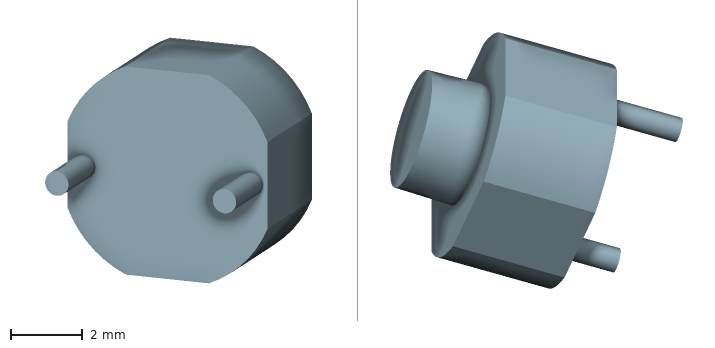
import cadquery as cq

total_length = 7.0
body_width = 6.0
body_round_radius = 3.25

pin_length = 2.0
housing_length = 3.0
cover_thickness = 0.3
button_length = total_length - pin_length - housing_length - cover_thickness

pin_diameter = 0.7
pin_spacing = 5.025

button_base_diameter = 3.5
button_tip_diameter = 3.4

housing_back = 0.0
cover_back = housing_back + housing_length
button_base = cover_back + cover_thickness


def section_plane(y):
    """Plane across the axis at the given Y, facing +Y."""
    return cq.Workplane(cq.Plane(origin=(0, y, 0), xDir=(1, 0, 0), normal=(0, 1, 0)))


def rounded_square(y, length):
    """Cylinder trimmed by four flats, starting at the given Y."""
    square = section_plane(y).rect(body_width, body_width).extrude(length)
    cylinder = section_plane(y).circle(body_round_radius).extrude(length)
    return square.intersect(cylinder)


def make_housing():
    """Housing with its two fixed pins, formed as one solid."""
    pin_places = [(-pin_spacing / 2, 0), (pin_spacing / 2, 0)]
    pins = (
        section_plane(housing_back)
        .pushPoints(pin_places)
        .circle(pin_diameter / 2)
        .extrude(-pin_length)
    )
    return rounded_square(housing_back, housing_length).union(pins)


def make_cover():
    """Thin plate with the outline of the housing."""
    return rounded_square(cover_back, cover_thickness)


def make_button():
    """Slightly tapered round button standing on the cover."""
    return (
        section_plane(button_base)
        .circle(button_base_diameter / 2)
        .workplane(offset=button_length)
        .circle(button_tip_diameter / 2)
        .loft(ruled=True)
    )


housing = make_housing()
cover = make_cover()
button = make_button()

bodies = [housing, cover, button]
result = cq.Compound.makeCompound([body.solids().val() for body in bodies])